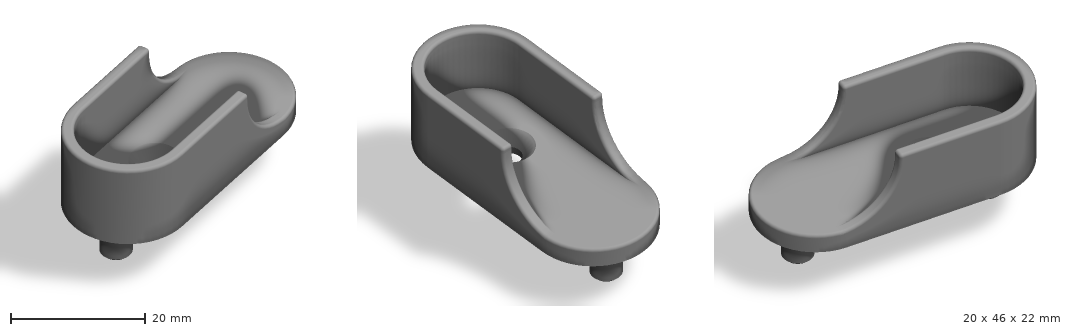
import cadquery as cq

length = 46.0
width = 20.0
body_height = 14.2
floor_height = 3.2
wall = 2.0
rim_fillet = 0.5

scoop_radius = 10.05
wall_end_y = 4.0
scoop_start_y = wall_end_y + scoop_radius
scoop_center_z = floor_height + scoop_radius

hole_y = -6.0
hole_diameter = 4.0
countersink_diameter = 8.0

pin_diameter = 5.0
pin_length = 7.77
pin_y = 16.0
pin_chamfer = 0.5


def rounded_block(inset, height):
    """Round-ended block along Y, its sides moved inward by inset."""
    return (
        cq.Workplane("XY")
        .slot2D(length - 2 * inset, width - 2 * inset, 90)
        .extrude(height)
    )


def scoop_cutter():
    """Space above the low end, with a quarter-round leading up to the walls."""
    arc_offset = scoop_radius * 0.5 ** 0.5
    return (
        cq.Workplane("YZ")
        .moveTo(length, floor_height)
        .lineTo(scoop_start_y, floor_height)
        .threePointArc(
            (scoop_start_y - arc_offset, scoop_center_z - arc_offset),
            (wall_end_y, scoop_center_z),
        )
        .lineTo(wall_end_y, 2 * body_height)
        .lineTo(length, 2 * body_height)
        .close()
        .extrude(width, both=True)
    )


def filleted_wall():
    """Closed wall ring, scooped, with its rim edges rounded, including the wall ends."""
    ring = rounded_block(0, body_height).cut(rounded_block(wall, body_height))
    scooped = ring.cut(scoop_cutter())
    top_edges = scooped.faces(">Z").edges()
    across_wall = cq.selectors.ParallelDirSelector(cq.Vector(1, 0, 0))
    above_base = cq.selectors.BoxSelector(
        (-width, -length, floor_height / 2 + rim_fillet),
        (width, length, body_height - rim_fillet),
    )
    upright_edges = cq.selectors.ParallelDirSelector(cq.Vector(0, 0, 1))
    wall_end_zone = cq.selectors.BoxSelector(
        (-width, wall_end_y - rim_fillet, scoop_center_z),
        (width, wall_end_y + rim_fillet, body_height),
    )
    side_seams = upright_edges - wall_end_zone
    scoop_edges = scooped.edges(above_base - across_wall - side_seams)
    return scooped.newObject(top_edges.vals() + scoop_edges.vals()).fillet(rim_fillet)


def pin(y):
    """Locating pin below the base, with a tapered tip."""
    radius = pin_diameter / 2
    return (
        cq.Workplane("XZ")
        .lineTo(radius, 0)
        .lineTo(radius, pin_chamfer - pin_length)
        .lineTo(radius - pin_chamfer, -pin_length)
        .lineTo(0, -pin_length)
        .close()
        .revolve(360, (0, 0), (0, 1))
        .translate((0, y, 0))
    )


def countersunk_hole():
    """Screw hole through the floor, with a 90 degree countersink from above."""
    radius = hole_diameter / 2
    countersink_radius = countersink_diameter / 2
    cone_depth = countersink_radius - radius
    return (
        cq.Workplane("XZ")
        .lineTo(radius, 0)
        .lineTo(radius, floor_height - cone_depth)
        .lineTo(countersink_radius, floor_height)
        .lineTo(0, floor_height)
        .close()
        .revolve(360, (0, 0), (0, 1))
        .translate((0, hole_y, 0))
    )


floor = rounded_block(wall - rim_fillet, floor_height)
result = filleted_wall().union(floor)

result = result.cut(countersunk_hole())

for y in (-pin_y, pin_y):
    result = result.union(pin(y))